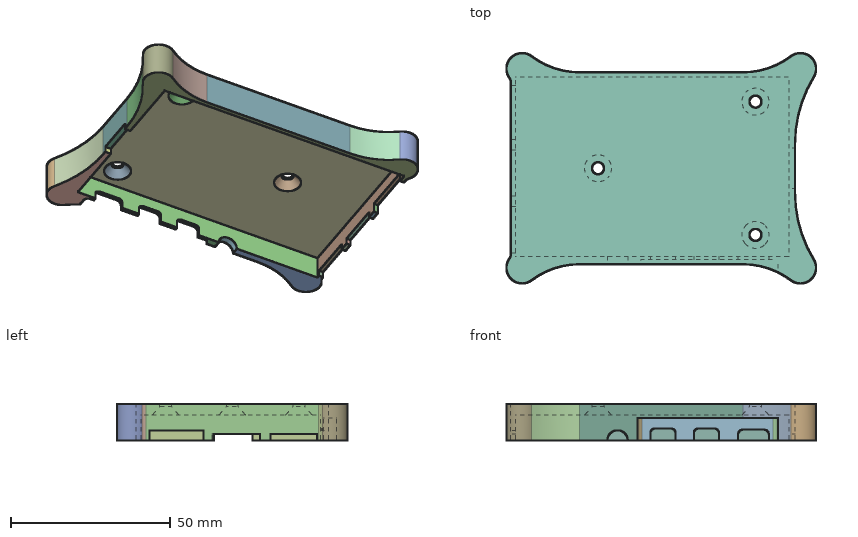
import cadquery as cq
import math

length = 97.3
width = 72.4
height = 11.5
roof = 3.5
side_wall = 1.5
right_wall = 1.9
front_wall = 2.5

lobe_radius = 5.0
lobe_x = length / 2 - lobe_radius
lobe_y = width / 2 - lobe_radius
side_y = 30.2
left_x = -47.3
right_x = 42.0
side_arc_radius = 25.0
right_arc_radius = 40.0
left_fillet_radius = 2.0

pocket_left = -7.5
pocket_right = 36.6
pocket_height = 7.0
pocket_depth = 1.5
pocket_fillet = 1.5

jack_x = -13.7
jack_radius = 3.2
port_corner = 1.5
front_ports = [(-3.4, 4.5, 3.8), (10.2, 18.1, 3.8), (24.1, 33.8, 3.4)]
left_ports = [(9.0, 26.0, 3.2), (-8.8, 5.7, 2.0), (-26.6, -12.1, 2.0)]
card_slot_width = 12.6
card_slot_height = 2.0

hole_diameter = 3.7
sink_diameter = 8.5
hole_land = 0.8
pair_x = 29.6
pair_y = 20.9
single_x = -19.8
hole_places = [(single_x, 0), (pair_x, pair_y), (pair_x, -pair_y)]


def lobe_joint(lobe, arc_centre):
    """Return the joint of a lobe and a concave arc that touch from outside."""
    distance = math.dist(lobe, arc_centre)
    share = lobe_radius / distance
    return tuple(a + (b - a) * share for a, b in zip(lobe, arc_centre))


def arc_middle(centre, radius, start, end):
    """Return the point halfway along the shorter arc from start to end."""
    middle_x = (start[0] + end[0]) / 2 - centre[0]
    middle_y = (start[1] + end[1]) / 2 - centre[1]
    stretch = radius / math.hypot(middle_x, middle_y)
    return (centre[0] + middle_x * stretch, centre[1] + middle_y * stretch)


def half_outline():
    """Draw the +Y half of the outline, closed along the X axis."""
    left_lobe = (-lobe_x, lobe_y)
    right_lobe = (lobe_x, lobe_y)
    lobe_rise = side_arc_radius + side_y - lobe_y
    side_run = math.sqrt((side_arc_radius + lobe_radius) ** 2 - lobe_rise**2)
    left_side = (-lobe_x + side_run, side_y + side_arc_radius)
    right_side = (lobe_x - side_run, side_y + side_arc_radius)

    right_centre_x = right_x + right_arc_radius
    right_drop = math.sqrt((right_arc_radius + lobe_radius) ** 2 - (right_centre_x - lobe_x) ** 2)
    right_arc = (right_centre_x, lobe_y - right_drop)

    left_centre_x = left_x - left_fillet_radius
    left_drop = math.sqrt((left_fillet_radius + lobe_radius) ** 2 - (left_centre_x + lobe_x) ** 2)
    left_arc = (left_centre_x, lobe_y - left_drop)

    left_end = (left_x, left_arc[1])
    left_joint = lobe_joint(left_lobe, left_arc)
    side_start_joint = lobe_joint(left_lobe, left_side)
    side_start = (left_side[0], side_y)
    side_end = (right_side[0], side_y)
    side_end_joint = lobe_joint(right_lobe, right_side)
    right_joint = lobe_joint(right_lobe, right_arc)
    right_end = (right_x, right_arc[1])
    diagonal = lobe_radius / math.sqrt(2)
    return (
        cq.Workplane("XY")
        .moveTo(left_x, 0)
        .lineTo(*left_end)
        .threePointArc(arc_middle(left_arc, left_fillet_radius, left_end, left_joint), left_joint)
        .threePointArc((-lobe_x - diagonal, lobe_y + diagonal), side_start_joint)
        .threePointArc(arc_middle(left_side, side_arc_radius, side_start_joint, side_start), side_start)
        .lineTo(*side_end)
        .threePointArc(arc_middle(right_side, side_arc_radius, side_end, side_end_joint), side_end_joint)
        .threePointArc((lobe_x + diagonal, lobe_y + diagonal), right_joint)
        .threePointArc(arc_middle(right_arc, right_arc_radius, right_joint, right_end), right_end)
        .lineTo(right_x, 0)
        .close()
    )


def box(x_range, y_range, z_range):
    """Return a block that spans the three ranges."""
    sizes = [end - start for start, end in (x_range, y_range, z_range)]
    corner = (x_range[0], y_range[0], z_range[0])
    return cq.Workplane("XY").box(*sizes, centered=False).translate(corner)


def shell():
    """Return the outlined block, hollowed from below."""
    half = half_outline().extrude(height)
    block = half.union(half.mirror("XZ"))
    cavity = box(
        (left_x + side_wall, right_x - right_wall),
        (-side_y + front_wall, side_y - side_wall),
        (0, height - roof),
    )
    return block.cut(cavity)


def front_pocket():
    """Return the cutter of the pocket, rounded where its ends meet its floor."""
    pocket = box((pocket_left, pocket_right), (-width / 2, -side_y + pocket_depth), (0, pocket_height))
    return pocket.edges("|Z and >Y").fillet(pocket_fillet)


def front_port(x_start, x_end, port_height):
    """Return the cutter of a -Y opening with rounded top corners."""
    port = box((x_start, x_end), (-side_y, -side_y + front_wall), (0, port_height))
    return port.edges("|Y and >Z").fillet(port_corner)


def jack_opening():
    """Return the cutter of the round-topped -Y opening."""
    wall_plane = cq.Workplane("XZ", origin=(jack_x, -side_y, 0))
    return wall_plane.circle(jack_radius).extrude(-front_wall)


def left_port(y_start, y_end, port_height):
    """Return the cutter of a square-cornered -X opening."""
    return box((left_x, left_x + side_wall), (y_start, y_end), (0, port_height))


def card_slot():
    """Return the cutter of the centred +X opening."""
    half_slot = card_slot_width / 2
    return box((right_x - right_wall, right_x), (-half_slot, half_slot), (0, card_slot_height))


def screw_hole(x, y):
    """Return the cutter of a roof hole with its countersink below."""
    hole = cq.Solid.makeCylinder(hole_diameter / 2, height)
    sink = cq.Solid.makeCone(sink_diameter / 2, hole_diameter / 2, roof - hole_land)
    sink = sink.translate(cq.Vector(0, 0, height - roof))
    return cq.Workplane(hole.fuse(sink)).translate((x, y, 0))


cutters = [front_pocket(), jack_opening(), card_slot()]
cutters += [front_port(*sizes) for sizes in front_ports]
cutters += [left_port(*sizes) for sizes in left_ports]
cutters += [screw_hole(*place) for place in hole_places]

result = shell()
for cutter in cutters:
    result = result.cut(cutter)